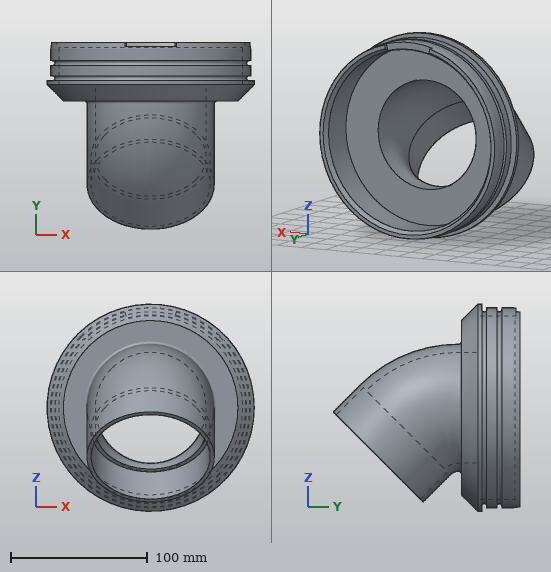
import cadquery as cq
import math

collar_length = 43.0
flange_diameter = 151.42
flange_bevel = 12.0
flange_rim_width = 3.0
rim_diameter = 146.2
rim_taper_length = 5.0
rim_back_diameter = 144.8

groove_width = 3.5
groove_depth = 3.0
land_width = 7.5

cavity_mouth_diameter = 139.0
lead_in_length = 4.0
lead_in_angle = 30.0
front_wall = flange_bevel
notch_angle = 30.0
notch_length = 3.0

pipe_diameter = 93.0
bore_diameter = 81.0
socket_diameter = 87.0
neck_fillet = 2.0
bend_radius = 55.0
bend_angle = 45.0
socket_length = 28.0

flange_back_y = flange_bevel + flange_rim_width
lead_in_y = collar_length - lead_in_length
cavity_radius = cavity_mouth_diameter / 2 - lead_in_length * math.tan(math.radians(lead_in_angle))
groove_starts = (flange_back_y, flange_back_y + groove_width + land_width)
bend_turn = math.radians(bend_angle)
bend_end_y = -neck_fillet - bend_radius * math.sin(bend_turn)
bend_end_z = -bend_radius * (1 - math.cos(bend_turn))


def make_cylinder(diameter, y_start, y_end):
    """Solid cylinder on the Y axis between two Y positions."""
    base = cq.Plane((0, y_start, 0), (1, 0, 0), (0, 1, 0))
    return cq.Workplane(base).circle(diameter / 2).extrude(y_end - y_start)


def revolve_about_y(profile):
    """Full turn of a closed XY profile about the Y axis."""
    return profile.close().revolve(360, (0, 0, 0), (0, 1, 0))


def make_collar():
    """Bevelled flange and tapered rim, with a concave fillet down to the pipe."""
    flange_radius = flange_diameter / 2
    rim_radius = rim_diameter / 2
    pipe_radius = pipe_diameter / 2
    fillet_sag = neck_fillet * (1 - math.sqrt(0.5))
    profile = (
        cq.Workplane("XY")
        .moveTo(0, -neck_fillet)
        .lineTo(pipe_radius, -neck_fillet)
        .threePointArc(
            (pipe_radius + fillet_sag, -fillet_sag),
            (pipe_radius + neck_fillet, 0),
        )
        .lineTo(flange_radius - flange_bevel, 0)
        .lineTo(flange_radius, flange_bevel)
        .lineTo(flange_radius, flange_back_y)
        .lineTo(rim_radius, flange_back_y)
        .lineTo(rim_radius, collar_length - rim_taper_length)
        .lineTo(rim_back_diameter / 2, collar_length)
        .lineTo(0, collar_length)
    )
    return revolve_about_y(profile)


def make_groove(y_start):
    """Ring cutter with a full-round floor, starting at y_start."""
    floor_radius = rim_diameter / 2 - groove_depth
    arc_start_radius = floor_radius + groove_width / 2
    y_end = y_start + groove_width
    profile = (
        cq.Workplane("XY")
        .moveTo(flange_diameter / 2, y_start)
        .lineTo(arc_start_radius, y_start)
        .threePointArc((floor_radius, y_start + groove_width / 2), (arc_start_radius, y_end))
        .lineTo(flange_diameter / 2, y_end)
    )
    return revolve_about_y(profile)


def make_cavity():
    """Flat-bottomed cavity cutter that widens through a conical lead-in to the back face."""
    profile = (
        cq.Workplane("XY")
        .moveTo(0, front_wall)
        .lineTo(cavity_radius, front_wall)
        .lineTo(cavity_radius, lead_in_y)
        .lineTo(cavity_mouth_diameter / 2, collar_length)
        .lineTo(0, collar_length)
    )
    return revolve_about_y(profile)


def make_notch():
    """Wedge cutter with radial sides, at the top of the back edge."""
    height = flange_diameter / 2
    half_width = height * math.tan(math.radians(notch_angle / 2))
    base = cq.Plane((0, collar_length, 0), (1, 0, 0), (0, -1, 0))
    wedge = cq.Workplane(base).polyline([(0, 0), (half_width, height), (-half_width, height)])
    return wedge.close().extrude(notch_length)


def make_bend(diameter):
    """Round elbow that starts at the neck along -Y and turns down towards -Z."""
    base = cq.Plane((0, -neck_fillet, 0), (1, 0, 0), (0, -1, 0))
    section = cq.Workplane(base).circle(diameter / 2)
    return section.revolve(bend_angle, (0, -bend_radius, 0), (1, -bend_radius, 0))


def make_straight(diameter):
    """Straight cylinder that continues from the end of the bend."""
    direction = (0, -math.cos(bend_turn), -math.sin(bend_turn))
    base = cq.Plane((0, bend_end_y, bend_end_z), (1, 0, 0), direction)
    return cq.Workplane(base).circle(diameter / 2).extrude(socket_length)


result = make_collar().union(make_bend(pipe_diameter)).union(make_straight(pipe_diameter))
for groove_start in groove_starts:
    result = result.cut(make_groove(groove_start))

result = result.cut(make_cavity())
result = result.cut(make_cylinder(bore_diameter, -neck_fillet, front_wall))
result = result.cut(make_bend(bore_diameter))
result = result.cut(make_straight(socket_diameter))
result = result.cut(make_notch())